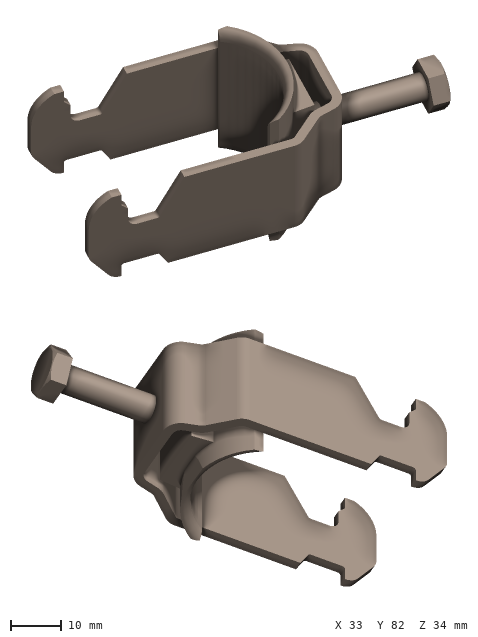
import cadquery as cq
import math


STRAP_WIDTH = 33.0
STRAP_HEIGHT = 23.0
SHEET = 2.0
WEB_Y = 58.0
WEB_HALF = 6.0
NECK_ANGLE = 15.0
SHOULDER_ANGLE = 42.5
SHOULDER_Y = 45.4
WEB_BEND = 4.0
NECK_BEND = 2.3
LEG_BEND = 3.4

HOOK_Y = 7.0
THROAT_TOP = 2.05
THROAT_BOTTOM = -8.1
THROAT_START = 15.0
SLANT_ANGLE = 30.0
SEAT_Y = 8.45
SEAT_TOP = 7.05
SEAT_RADIUS = 2.0
NOSE_RADIUS = 8.0
NOSE_START = 4.1
CHIN_ANGLE = 35.4
CHIN_START = -4.2
CHIN_RADIUS = 3.0
BARB_RADIUS = 3.4
THROAT_RADIUS = 0.6

BOLT_DIAMETER = 6.0
HEAD_FLATS = 10.0
HEAD_HEIGHT = 4.0
HEAD_TOP_Y = 82.0
HEAD_BEVEL_ANGLE = 30.0
HEAD_FACE_DIAMETER = 9.6

SADDLE_OUTER = 16.9
SADDLE_WALL = 2.0
SADDLE_WIDTH = 28.0
SADDLE_HEIGHT = 34.0
SADDLE_LIFT = 0.5
SADDLE_CREST_Y = 49.1
SADDLE_END_Y = 39.7
RIM_DROP = 2.6
RELIEF_DEPTH = 0.65
RELIEF_HEIGHT = 7.0

BLOCK_TOP_Y = 52.1
BLOCK_TOP_WIDTH = 13.8
BLOCK_DRAFT = 5.0
BLOCK_HEIGHT = 22.0


def tangent(angle):
    return math.tan(math.radians(angle))


def bolt_cylinder(diameter, y_low, y_high):
    """Cylinder on the bolt axis."""
    start = cq.Workplane("XZ", origin=(0, y_high, 0))
    return start.circle(diameter / 2).extrude(y_high - y_low)


def make_bent_sheet():
    """The bent strap at full leg height, before the hooks are cut."""
    half = STRAP_WIDTH / 2
    web_corner = WEB_HALF + WEB_BEND * tangent((90 - NECK_ANGLE) / 2)
    neck_slope = tangent(NECK_ANGLE)
    shoulder_slope = tangent(SHOULDER_ANGLE)
    neck_drop = (
        (half - web_corner - shoulder_slope * (WEB_Y - SHOULDER_Y))
        / (neck_slope - shoulder_slope)
    )
    neck_x = web_corner + neck_drop * neck_slope
    neck_y = WEB_Y - neck_drop

    right_side = [(web_corner, WEB_Y), (neck_x, neck_y), (half, SHOULDER_Y), (half, 0)]
    left_side = [(-x, y) for x, y in reversed(right_side)]
    body = (
        cq.Workplane("XY", origin=(0, 0, -STRAP_HEIGHT / 2))
        .polyline(right_side + left_side).close()
        .extrude(STRAP_HEIGHT)
    )
    bends = [(web_corner, WEB_Y, WEB_BEND), (neck_x, neck_y, NECK_BEND), (half, SHOULDER_Y, LEG_BEND)]
    for x, y, radius in bends:
        for side in (-1, 1):
            corner = cq.selectors.NearestToPointSelector((side * x, y, 0))
            body = body.edges("|Z").edges(corner).fillet(radius)
    return body.faces("<Y or >Z or <Z").shell(-SHEET)


def make_leg_outline():
    """Side outline of the strap with its hooks, extruded across both legs."""
    top = STRAP_HEIGHT / 2
    bottom = -top
    slant = tangent(SLANT_ANGLE)
    nose_y = NOSE_RADIUS - math.sqrt(NOSE_RADIUS**2 - (top - NOSE_START) ** 2)
    nose_angle = math.asin((top - NOSE_START) / NOSE_RADIUS) / 2
    nose_middle = (
        NOSE_RADIUS * (1 - math.cos(nose_angle)),
        NOSE_START + NOSE_RADIUS * math.sin(nose_angle),
    )
    chin_end = (CHIN_START - bottom) * tangent(CHIN_ANGLE)
    upper_throat = (THROAT_START, THROAT_TOP)
    seat_root = (SEAT_Y, THROAT_TOP)
    lower_throat = (THROAT_START, THROAT_BOTTOM)
    barb_root = (HOOK_Y, THROAT_BOTTOM)

    outline = (
        cq.Workplane("YZ", origin=(-STRAP_WIDTH / 2, 0, 0))
        .moveTo(WEB_Y, top)
        .lineTo(THROAT_START + (top - THROAT_TOP) * slant, top)
        .lineTo(*upper_throat)
        .lineTo(*seat_root)
        .lineTo(SEAT_Y, SEAT_TOP)
        .lineTo(HOOK_Y, SEAT_TOP + SEAT_Y - HOOK_Y)
        .lineTo(HOOK_Y, top)
        .lineTo(nose_y, top)
        .threePointArc(nose_middle, (0, NOSE_START))
        .lineTo(0, CHIN_START)
        .lineTo(chin_end, bottom)
        .lineTo(HOOK_Y, bottom)
        .lineTo(HOOK_Y, THROAT_BOTTOM)
        .lineTo(*lower_throat)
        .lineTo(THROAT_START + (THROAT_BOTTOM - bottom) * slant, bottom)
        .lineTo(WEB_Y, bottom)
        .close()
        .extrude(STRAP_WIDTH)
    )
    rounds = [
        (upper_throat, THROAT_RADIUS),
        (seat_root, SEAT_RADIUS),
        (lower_throat, THROAT_RADIUS),
        (barb_root, THROAT_RADIUS),
        ((0, CHIN_START), CHIN_RADIUS),
        ((chin_end, bottom), BARB_RADIUS),
    ]
    for (y, z), radius in rounds:
        corner = cq.selectors.NearestToPointSelector((0, y, z))
        outline = outline.edges("|X").edges(corner).fillet(radius)
    return outline


def make_strap():
    strap = make_bent_sheet().intersect(make_leg_outline())
    return strap.cut(bolt_cylinder(BOLT_DIAMETER, WEB_Y - 2 * SHEET, WEB_Y + SHEET))


def make_bolt():
    """Hexagon bolt whose tip rests on the pressure block."""
    corners = HEAD_FLATS / math.cos(math.radians(30))
    head = (
        cq.Workplane("XZ", origin=(0, HEAD_TOP_Y, 0))
        .polygon(6, corners)
        .extrude(HEAD_HEIGHT)
    )
    face_radius = HEAD_FACE_DIAMETER / 2
    cone_radius = face_radius + HEAD_HEIGHT / tangent(HEAD_BEVEL_ANGLE)
    bevel = (
        cq.Workplane("XY")
        .polyline([
            (0, HEAD_TOP_Y),
            (face_radius, HEAD_TOP_Y),
            (cone_radius, HEAD_TOP_Y - HEAD_HEIGHT),
            (0, HEAD_TOP_Y - HEAD_HEIGHT),
        ])
        .close()
        .revolve(360, (0, 0, 0), (0, 1, 0))
    )
    shank = bolt_cylinder(BOLT_DIAMETER, BLOCK_TOP_Y, HEAD_TOP_Y - HEAD_HEIGHT)
    return head.intersect(bevel).union(shank)


def make_saddle():
    """Arched saddle with rounded inner rims at both ends."""
    axis_y = SADDLE_CREST_Y - SADDLE_OUTER
    inner = SADDLE_OUTER - SADDLE_WALL
    half = SADDLE_HEIGHT / 2
    bottom = SADDLE_LIFT - half
    wall = (
        cq.Workplane("XZ", origin=(0, axis_y, SADDLE_LIFT))
        .moveTo(inner, RIM_DROP - half)
        .lineTo(inner, half - RIM_DROP)
        .ellipseArc(SADDLE_WALL, RIM_DROP, 90, 180, sense=-1, startAtCurrent=True)
        .lineTo(SADDLE_OUTER, -half)
        .ellipseArc(SADDLE_WALL, RIM_DROP, 180, 270, sense=-1, startAtCurrent=True)
        .close()
        .revolve(360, (0, 0, 0), (0, 1, 0))
    )
    arch = cq.Workplane("XY", origin=(0, SADDLE_END_Y, SADDLE_LIFT)).box(
        SADDLE_WIDTH, SADDLE_OUTER, SADDLE_HEIGHT, centered=(True, False, True)
    )
    relief = (
        cq.Workplane("YZ", origin=(-SADDLE_WIDTH / 2, 0, 0))
        .polyline([
            (SADDLE_CREST_Y, bottom),
            (SADDLE_CREST_Y, bottom + RELIEF_HEIGHT),
            (SADDLE_CREST_Y - RELIEF_DEPTH, bottom),
        ])
        .close()
        .extrude(SADDLE_WIDTH)
    )
    return wall.intersect(arch).cut(relief)


def make_block():
    """Wedge-sided block between bolt tip and saddle, hollowed to fit the saddle."""
    axis_y = SADDLE_CREST_Y - SADDLE_OUTER
    depth = BLOCK_TOP_Y - SADDLE_END_Y
    top_half = BLOCK_TOP_WIDTH / 2
    bottom_half = top_half + depth * tangent(BLOCK_DRAFT)
    wedge = (
        cq.Workplane("XY", origin=(0, 0, -BLOCK_HEIGHT / 2))
        .polyline([
            (-top_half, BLOCK_TOP_Y),
            (top_half, BLOCK_TOP_Y),
            (bottom_half, SADDLE_END_Y),
            (-bottom_half, SADDLE_END_Y),
        ])
        .close()
        .extrude(BLOCK_HEIGHT)
    )
    seat = (
        cq.Workplane("XY", origin=(0, axis_y, -BLOCK_HEIGHT / 2))
        .circle(SADDLE_OUTER)
        .extrude(BLOCK_HEIGHT)
    )
    return wedge.cut(seat)


strap = make_strap()
bolt = make_bolt()
saddle = make_saddle()
block = make_block()

result = cq.Compound.makeCompound([strap.val(), bolt.val(), saddle.val(), block.val()])